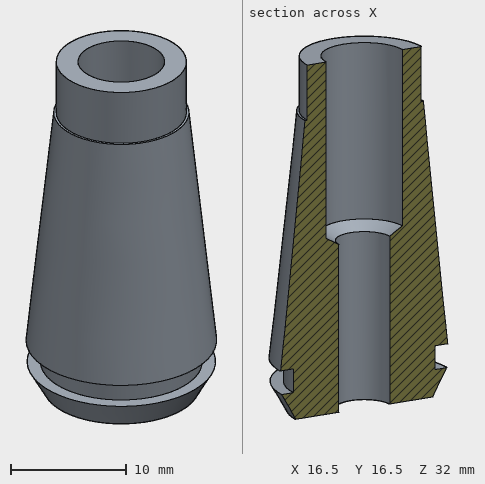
import cadquery as cq
import math

total_height = 32.0
nose_height = 2.5
groove_height = 2.1
neck_height = 5.0

nose_bottom_radius = 6.75
nose_top_radius = 8.15
groove_radius = 7.0
body_bottom_radius = 8.25
body_top_radius = 5.85
neck_radius = 5.63

through_radius = 2.5
bore_radius = 3.75
bore_depth = 16.0
drill_point_angle = 118.0

body_bottom = nose_height + groove_height
body_top = total_height - neck_height
bore_floor = total_height - bore_depth
point_depth = (bore_radius - through_radius) / math.tan(math.radians(drill_point_angle / 2))

profile = [
    (through_radius, 0),
    (nose_bottom_radius, 0),
    (nose_top_radius, nose_height),
    (groove_radius, nose_height),
    (groove_radius, body_bottom),
    (body_bottom_radius, body_bottom),
    (body_top_radius, body_top),
    (neck_radius, body_top),
    (neck_radius, total_height),
    (bore_radius, total_height),
    (bore_radius, bore_floor),
    (through_radius, bore_floor - point_depth),
]

result = cq.Workplane("XZ").polyline(profile).close().revolve(360, (0, 0, 0), (0, 1, 0))